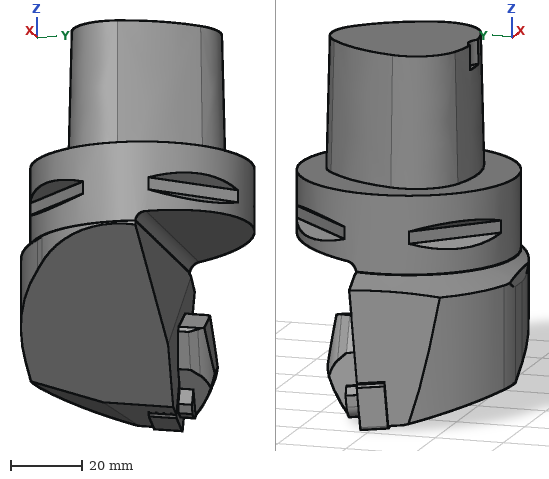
import cadquery as cq
import math


SHANK_LENGTH = 38.0
LOBE_REACH = 23.6
FLANK_REACH = 20.2
LOBE_RADIUS = 14.3
TAPER_ANGLE = math.degrees(math.atan(1 / 40))
KEY_NOTCH_RADIUS = 5.7
KEY_NOTCH_SAG = 1.6
KEY_NOTCH_DEPTH = 7.0

FLANGE_RADIUS = 63.0 / 2
FLANGE_HEIGHT = 22.8
GROOVE_COUNT = 4
GROOVE_DEPTH = 3.55
GROOVE_FLOOR_WIDTH = 3.5
GROOVE_MOUTH_WIDTH = 7.9
GROOVE_Z = -12.1
UNDERSIDE_EDGE_Z = -18.1
UNDERSIDE_ANGLE = 5.0
UNDERSIDE_FILLET = 3.2

REAR_Y = 5.8
SIDE_ARC_RADIUS = 38.75
SIDE_ARC_BLEND_RADIUS = 16.0
FRONT_FLAT_Y = -36.4
FRONT_FLAT_LEFT_X = -16.0
FRONT_FLAT_RIGHT_X = -10.0
FRONT_ARC_RADIUS = 42.0
FRONT_ARC_END_X = 17.9
BLEND_END_X = 20.2
SIDE_ARC_SWEEP = math.radians(24.0)
SHOULDER_ANGLE = 15.0
FRONT_BEVEL_Z = -27.4
FRONT_BEVEL_ANGLE = 16.0
SHOULDER_Z = -23.0
HEAD_RADIUS = FLANGE_RADIUS - 0.2
SLANT_POINT = (FLANGE_RADIUS, 0, -23.3)
SLANT_RISE_ALONG_X = 0.69
SLANT_FALL_ALONG_Y = 0.026
RELIEF_POINT = (-22.5, -34.9, -55.9)
RELIEF_RISE_ALONG_X = 0.045
RELIEF_FALL_ALONG_Y = 0.27

TIP_X = -45.12
TIP_Z = -65.0
TIP_Y = 0.1
RAKE_SLOPE = math.tan(math.radians(6.0))
CORNER_HALF_ANGLE = math.radians(40.0)
INSERT_SIDE = 13.2
INSERT_THICKNESS = 7.94
INSERT_NOSE_RADIUS = 0.8
INSERT_CORNER_CHAMFER = 1.0
INSERT_OVERHANG = 0.7

SHOE_START = 3.55
SHOE_SIDE = 9.2
SHOE_THICKNESS = 3.9
SHOE_NOSE_RADIUS = 3.3
SHOE_CORNER_CHAMFER = 2.0
CLAMP_START = 5.8
CLAMP_TURN = -10.0
CLAMP_TILT = 3.0
CLAMP_SHOULDER = 16.1
CLAMP_LENGTH = 28.5
CLAMP_CREST_START = 14.0
CLAMP_CREST_HEIGHT = 9.8
CLAMP_END_HEIGHT = 7.2
CLAMP_NOSE_SAG = 0.9
CLAMP_HALF_WIDTH = 6.1
CLAMP_WALL_HEIGHT = 3.55
CLAMP_BEVEL_HALF_WIDTH = 5.4
CLAMP_BEVEL_HEIGHT = 6.1
CLAMP_SECTION_HEIGHT = 10.2
CLAMP_END_CHAMFER = 1.0

FAR = 200.0


def half_space(point, outward):
    """A large block that starts at a plane and fills the side that `outward` points to."""
    return cq.Workplane(cq.Plane(point, normal=outward)).rect(2 * FAR, 2 * FAR).extrude(FAR)


tip_offset = INSERT_NOSE_RADIUS * (math.sqrt(0.5) / math.sin(CORNER_HALF_ANGLE) - 1)
insert_frame = cq.Plane(
    origin=(TIP_X - tip_offset, TIP_Y, TIP_Z - tip_offset),
    xDir=(1, 2 * RAKE_SLOPE, 1),
    normal=(-RAKE_SLOPE, 1, -RAKE_SLOPE),
)


def rhombus(start, side):
    """An 80 degree rhombus in the insert frame with its sharp corner at `start`."""
    half_length = side * math.cos(CORNER_HALF_ANGLE)
    half_width = side * math.sin(CORNER_HALF_ANGLE)
    return cq.Workplane(insert_frame).polyline(
        [
            (start, 0),
            (start + half_length, -half_width),
            (start + 2 * half_length, 0),
            (start + half_length, half_width),
        ]
    ).close()


def edge_at(body, frame, along, across):
    """The edge parallel to the frame's Z that is nearest to the given point of the frame."""
    near = cq.selectors.NearestToPointSelector(frame.toWorldCoords((along, across, 0)).toTuple())
    return body.edges(cq.selectors.ParallelDirSelector(frame.zDir)).edges(near)


def make_insert():
    half_length = INSERT_SIDE * math.cos(CORNER_HALF_ANGLE)
    half_width = INSERT_SIDE * math.sin(CORNER_HALF_ANGLE)
    body = rhombus(0, INSERT_SIDE).extrude(-INSERT_THICKNESS)
    for along in (0, 2 * half_length):
        body = edge_at(body, insert_frame, along, 0).fillet(INSERT_NOSE_RADIUS)
    for across in (-half_width, half_width):
        body = edge_at(body, insert_frame, half_length, across).chamfer(INSERT_CORNER_CHAMFER)
    return body


def polar(radius, angle, centre=(0, 0)):
    return (centre[0] + radius * math.cos(angle), centre[1] + radius * math.sin(angle))


def make_shank():
    """Three lobe arcs and three flatter flank arcs, all tangent, tapering towards the end."""
    lobe_centre = LOBE_REACH - LOBE_RADIUS
    gap = FLANK_REACH - LOBE_RADIUS
    flank_centre = (lobe_centre**2 - gap**2) / (2 * gap - lobe_centre)
    flank_radius = FLANK_REACH + flank_centre
    half_pitch = math.pi / 3
    lobe_point = polar(lobe_centre, half_pitch)
    seam_angle = math.atan2(lobe_point[1], lobe_point[0] + flank_centre)
    seam = polar(flank_radius, seam_angle, (-flank_centre, 0))
    seam_reach = math.hypot(*seam)
    seam_offset = math.atan2(seam[1], seam[0])

    first_flank = -math.pi / 2
    outline = cq.Workplane("XY").moveTo(*polar(seam_reach, first_flank - seam_offset))
    for i in range(3):
        flank = first_flank + i * 2 * half_pitch
        lobe = flank + half_pitch
        next_flank = lobe + half_pitch
        outline = outline.threePointArc(polar(FLANK_REACH, flank), polar(seam_reach, flank + seam_offset))
        outline = outline.threePointArc(polar(LOBE_REACH, lobe), polar(seam_reach, next_flank - seam_offset))
    shank = outline.close().extrude(SHANK_LENGTH, taper=TAPER_ANGLE)

    end_flank_y = -(FLANK_REACH - SHANK_LENGTH * math.tan(math.radians(TAPER_ANGLE)))
    notch = (
        cq.Workplane("XY", origin=(0, end_flank_y + KEY_NOTCH_SAG - KEY_NOTCH_RADIUS, SHANK_LENGTH))
        .circle(KEY_NOTCH_RADIUS)
        .extrude(-KEY_NOTCH_DEPTH)
    )
    return shank.cut(notch)


def make_flange():
    flange = cq.Workplane("XY").circle(FLANGE_RADIUS).extrude(-FLANGE_HEIGHT)
    floor_x = FLANGE_RADIUS - GROOVE_DEPTH
    groove = (
        cq.Workplane("XZ", origin=(0, FLANGE_RADIUS, GROOVE_Z))
        .polyline(
            [
                (floor_x, -GROOVE_FLOOR_WIDTH / 2),
                (FLANGE_RADIUS, -GROOVE_MOUTH_WIDTH / 2),
                (FLANGE_RADIUS, GROOVE_MOUTH_WIDTH / 2),
                (floor_x, GROOVE_FLOOR_WIDTH / 2),
            ]
        )
        .close()
        .extrude(2 * FLANGE_RADIUS)
    )
    pitch = 360 / GROOVE_COUNT
    for i in range(GROOVE_COUNT):
        flange = flange.cut(groove.rotate((0, 0, 0), (0, 0, 1), (i + 0.5) * pitch))
    return flange


def head_outline():
    """The head seen along Z: side arc, blend, front flat, front arc, then the round part under the flange."""
    blend_centre = (FRONT_FLAT_LEFT_X, FRONT_FLAT_Y + SIDE_ARC_BLEND_RADIUS)
    blend_start_angle = -math.pi / 2 - SIDE_ARC_SWEEP
    blend_start = polar(SIDE_ARC_BLEND_RADIUS, blend_start_angle, blend_centre)
    blend_middle = polar(SIDE_ARC_BLEND_RADIUS, -math.pi / 2 - SIDE_ARC_SWEEP / 2, blend_centre)

    side_centre = polar(SIDE_ARC_RADIUS - SIDE_ARC_BLEND_RADIUS, blend_start_angle + math.pi, blend_centre)
    side_start_angle = -math.pi - math.asin((REAR_Y - side_centre[1]) / SIDE_ARC_RADIUS)
    side_start = polar(SIDE_ARC_RADIUS, side_start_angle, side_centre)
    side_middle = polar(SIDE_ARC_RADIUS, (side_start_angle + blend_start_angle) / 2, side_centre)

    front_centre = (FRONT_FLAT_RIGHT_X, FRONT_FLAT_Y + FRONT_ARC_RADIUS)
    front_end_angle = -math.acos((FRONT_ARC_END_X - front_centre[0]) / FRONT_ARC_RADIUS)
    front_end = polar(FRONT_ARC_RADIUS, front_end_angle, front_centre)
    front_middle = polar(FRONT_ARC_RADIUS, (front_end_angle - math.pi / 2) / 2, front_centre)

    round_start = polar(HEAD_RADIUS, -math.acos(BLEND_END_X / HEAD_RADIUS))
    round_end = polar(HEAD_RADIUS, math.asin(REAR_Y / HEAD_RADIUS))
    return (
        cq.Workplane("XY")
        .moveTo(*side_start)
        .threePointArc(side_middle, blend_start)
        .threePointArc(blend_middle, (FRONT_FLAT_LEFT_X, FRONT_FLAT_Y))
        .lineTo(FRONT_FLAT_RIGHT_X, FRONT_FLAT_Y)
        .threePointArc(front_middle, front_end)
        .lineTo(*round_start)
        .threePointArc((HEAD_RADIUS, 0), round_end)
        .close()
    )


def make_head():
    head = head_outline().extrude(-FAR)

    shoulder_drop = (FAR - HEAD_RADIUS) * math.tan(math.radians(SHOULDER_ANGLE))
    shoulder = (
        cq.Workplane("XZ")
        .polyline(
            [
                (0, -FLANGE_HEIGHT),
                (HEAD_RADIUS, -FLANGE_HEIGHT),
                (HEAD_RADIUS, SHOULDER_Z),
                (FAR, SHOULDER_Z - shoulder_drop),
                (FAR, -FAR),
                (0, -FAR),
            ]
        )
        .close()
        .revolve(360, (0, 0, 0), (0, 1, 0))
    )
    head = head.intersect(shoulder)

    corner = INSERT_OVERHANG / math.sin(CORNER_HALF_ANGLE)
    spread = FAR * math.tan(CORNER_HALF_ANGLE)
    wedge = (
        cq.Workplane(insert_frame)
        .polyline([(corner, 0), (corner + FAR, -spread), (corner + FAR, spread)])
        .close()
        .extrude(-FAR)
    )
    head = head.intersect(wedge)

    bevel = math.radians(FRONT_BEVEL_ANGLE)
    head = head.cut(half_space((0, FRONT_FLAT_Y, FRONT_BEVEL_Z), (0, -math.cos(bevel), math.sin(bevel))))
    head = head.cut(half_space(SLANT_POINT, (SLANT_RISE_ALONG_X, -SLANT_FALL_ALONG_Y, -1)))
    return head.cut(half_space(RELIEF_POINT, (RELIEF_RISE_ALONG_X, -RELIEF_FALL_ALONG_Y, -1)))


def make_rear_cutaway():
    """The space behind the head and below the flange, with its rounded inner corner."""
    slope = math.tan(math.radians(UNDERSIDE_ANGLE))
    inner_z = UNDERSIDE_EDGE_Z - slope * (FLANGE_RADIUS - REAR_Y)
    return (
        cq.Workplane("YZ", origin=(-FAR, 0, 0))
        .polyline(
            [
                (REAR_Y, inner_z),
                (REAR_Y + FAR, inner_z + slope * FAR),
                (REAR_Y + FAR, -FAR),
                (REAR_Y, -FAR),
            ]
        )
        .close()
        .extrude(2 * FAR)
        .edges(cq.selectors.NearestToPointSelector((0, REAR_Y, inner_z)))
        .fillet(UNDERSIDE_FILLET)
    )


def make_shoe():
    """The plate that presses on the rake face, with the insert's corner angle."""
    half_length = SHOE_SIDE * math.cos(CORNER_HALF_ANGLE)
    half_width = SHOE_SIDE * math.sin(CORNER_HALF_ANGLE)
    shoe = rhombus(SHOE_START, SHOE_SIDE).extrude(SHOE_THICKNESS)
    shoe = edge_at(shoe, insert_frame, SHOE_START, 0).fillet(SHOE_NOSE_RADIUS)
    for across in (-half_width, half_width):
        shoe = edge_at(shoe, insert_frame, SHOE_START + half_length, across).chamfer(SHOE_CORNER_CHAMFER)
    return shoe


def make_clamp_bar():
    """A bar with a pointed nose: its footprint, cross-section and side profile intersected."""
    nose = insert_frame.toWorldCoords((CLAMP_START, 0, 0))
    frame = cq.Plane(nose, insert_frame.xDir, insert_frame.zDir).rotated((0, 0, CLAMP_TURN))

    footprint = (
        cq.Workplane(frame)
        .polyline(
            [
                (0, 0),
                (CLAMP_SHOULDER, -CLAMP_HALF_WIDTH),
                (CLAMP_LENGTH, -CLAMP_HALF_WIDTH),
                (CLAMP_LENGTH, CLAMP_HALF_WIDTH),
                (CLAMP_SHOULDER, CLAMP_HALF_WIDTH),
            ]
        )
        .close()
        .extrude(2 * CLAMP_CREST_HEIGHT)
    )
    for across in (-CLAMP_HALF_WIDTH, CLAMP_HALF_WIDTH):
        footprint = edge_at(footprint, frame, CLAMP_LENGTH, across).chamfer(CLAMP_END_CHAMFER)

    bevel_slope = (CLAMP_HALF_WIDTH - CLAMP_BEVEL_HALF_WIDTH) / (CLAMP_BEVEL_HEIGHT - CLAMP_WALL_HEIGHT)
    base_half_width = CLAMP_HALF_WIDTH + 2 * CLAMP_WALL_HEIGHT * bevel_slope
    shoulder = frame.toWorldCoords((CLAMP_SHOULDER, 0, 0))
    tilted = cq.Plane(shoulder, frame.xDir, frame.zDir).rotated((0, CLAMP_TILT, 0))
    section = (
        cq.Workplane(cq.Plane(shoulder, tilted.yDir, tilted.xDir))
        .moveTo(-base_half_width, -CLAMP_WALL_HEIGHT)
        .lineTo(-CLAMP_BEVEL_HALF_WIDTH, CLAMP_BEVEL_HEIGHT)
        .threePointArc((0, CLAMP_SECTION_HEIGHT), (CLAMP_BEVEL_HALF_WIDTH, CLAMP_BEVEL_HEIGHT))
        .lineTo(base_half_width, -CLAMP_WALL_HEIGHT)
        .close()
        .extrude(2 * CLAMP_LENGTH, both=True)
    )

    profile = (
        cq.Workplane(cq.Plane(nose, frame.xDir, -frame.yDir))
        .moveTo(0, -CLAMP_WALL_HEIGHT)
        .lineTo(0, SHOE_THICKNESS)
        .sagittaArc((CLAMP_CREST_START, CLAMP_CREST_HEIGHT), CLAMP_NOSE_SAG)
        .lineTo(CLAMP_LENGTH, CLAMP_END_HEIGHT)
        .lineTo(2 * CLAMP_LENGTH, CLAMP_END_HEIGHT)
        .lineTo(2 * CLAMP_LENGTH, -CLAMP_WALL_HEIGHT)
        .close()
        .extrude(2 * CLAMP_HALF_WIDTH, both=True)
    )
    return footprint.intersect(section).intersect(profile)


insert = make_insert()

holder = (
    make_flange()
    .union(make_head())
    .cut(make_rear_cutaway())
    .union(make_shank())
    .cut(insert)
    .union(make_clamp_bar())
    .union(make_shoe())
)

result = cq.Compound.makeCompound([holder.val(), insert.val()])